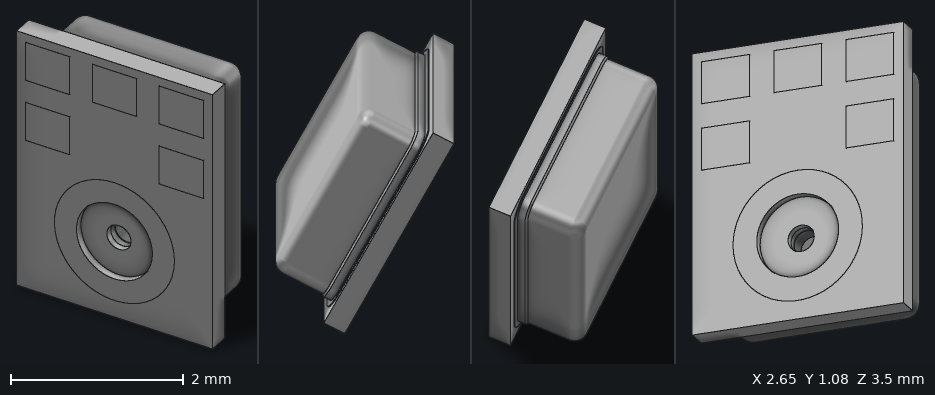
import cadquery as cq

BOARD_WIDTH = 2.65
BOARD_HEIGHT = 3.5
BOARD_THICKNESS = 0.275

PORT_Z = -0.71
PORT_DIAMETER = 0.325
PORT_DEPTH = 0.49
RECESS_DIAMETER = 1.025
RECESS_DEPTH = 0.1

CONTACT_DEPTH = 0.19
SEAL_DIAMETER = 1.62
PAD_WIDTH = 0.6
PAD_HEIGHT = 0.52
PAD_PITCH_X = 0.903
PAD_PITCH_Z = 0.825
PAD_EDGE_GAP = 0.12

FRAME_WIDTH = 2.455
FRAME_HEIGHT = 3.3
FRAME_THICKNESS = 0.01
FRAME_CORNER_RADIUS = 0.28

TOTAL_DEPTH = 1.08
LID_WIDTH = 2.25
LID_HEIGHT = 3.09
LID_CORNER_RADIUS = 0.18
LID_EDGE_RADIUS = 0.15
FLANGE_OVERHANG = 0.025
FLANGE_THICKNESS = 0.12

LID_FRONT = BOARD_THICKNESS + FRAME_THICKNESS
TOP_ROW_Z = BOARD_HEIGHT / 2 - PAD_EDGE_GAP - PAD_HEIGHT / 2
LOWER_ROW_Z = TOP_ROW_Z - PAD_PITCH_Z
PAD_CENTERS = [
    (-PAD_PITCH_X, TOP_ROW_Z),
    (0, TOP_ROW_Z),
    (PAD_PITCH_X, TOP_ROW_Z),
    (-PAD_PITCH_X, LOWER_ROW_Z),
    (PAD_PITCH_X, LOWER_ROW_Z),
]


def block(width, height, front, depth):
    """Box centred on X = Z = 0 that runs from Y = front towards +Y."""
    return cq.Workplane("XY").box(width, depth, height).translate((0, front + depth / 2, 0))


def port_cylinder(diameter, depth):
    """Cylinder on the port axis that runs from Y = 0 towards +Y."""
    start = cq.Vector(0, 0, PORT_Z)
    direction = cq.Vector(0, 1, 0)
    return cq.Workplane(cq.Solid.makeCylinder(diameter / 2, depth, start, direction))


def make_port():
    """Empty space of the stepped port, cut from every body that it crosses."""
    recess = port_cylinder(RECESS_DIAMETER, RECESS_DEPTH)
    return recess.union(port_cylinder(PORT_DIAMETER, PORT_DEPTH))


def make_pad(x, z):
    return block(PAD_WIDTH, PAD_HEIGHT, 0, CONTACT_DEPTH).translate((x, 0, z))


def make_seal():
    return port_cylinder(SEAL_DIAMETER, CONTACT_DEPTH).cut(make_port())


def make_board():
    board = block(BOARD_WIDTH, BOARD_HEIGHT, 0, BOARD_THICKNESS)
    board = board.cut(port_cylinder(SEAL_DIAMETER, CONTACT_DEPTH))
    for x, z in PAD_CENTERS:
        board = board.cut(make_pad(x, z))
    return board.cut(make_port())


def rounded_block(width, height, front, depth, corner_radius):
    """Block whose four edges along Y are rounded."""
    return block(width, height, front, depth).edges("|Y").fillet(corner_radius)


def make_frame():
    plate = rounded_block(
        FRAME_WIDTH, FRAME_HEIGHT, BOARD_THICKNESS, FRAME_THICKNESS, FRAME_CORNER_RADIUS
    )
    return plate.cut(make_port())


def make_cover():
    depth = TOTAL_DEPTH - LID_FRONT
    cover = rounded_block(LID_WIDTH, LID_HEIGHT, LID_FRONT, depth, LID_CORNER_RADIUS)
    return cover.faces(">Y").edges().fillet(LID_EDGE_RADIUS)


def make_flange():
    """Foot of the lid, bevelled at 45 degrees across its whole overhang."""
    width = LID_WIDTH + 2 * FLANGE_OVERHANG
    height = LID_HEIGHT + 2 * FLANGE_OVERHANG
    corner_radius = LID_CORNER_RADIUS + FLANGE_OVERHANG
    flange = rounded_block(width, height, LID_FRONT, FLANGE_THICKNESS, corner_radius)
    return flange.faces(">Y").edges().chamfer(FLANGE_OVERHANG)


def make_lid():
    return make_cover().union(make_flange()).cut(make_port())


board = make_board()
seal = make_seal()
pads = [make_pad(x, z) for x, z in PAD_CENTERS]
frame = make_frame()
lid = make_lid()

bodies = [board, seal, *pads, frame, lid]
result = cq.Compound.makeCompound([body.solids().val() for body in bodies])